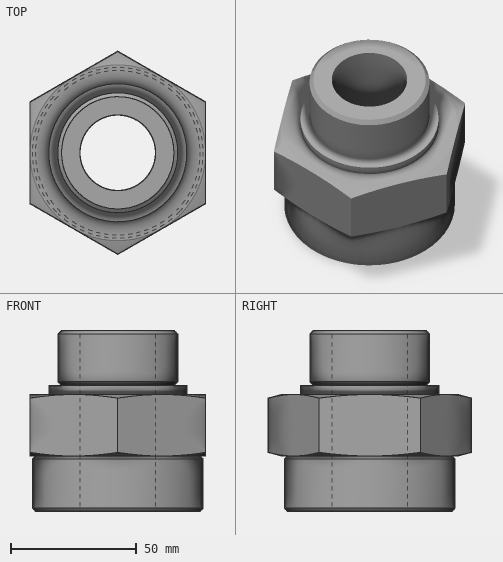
import cadquery as cq
import math

HEX_CORNERS = 80.8
HEX_FLATS = HEX_CORNERS * math.cos(math.radians(30))
HEX_BOTTOM = 22.0
HEX_TOP = 46.5
HEX_BEVEL_ANGLE = 15.0
BEVEL_OVERRUN = 0.8

BODY_DIAMETER = 68.0
BODY_CHAMFER = 1.2
COLLAR_DIAMETER = 55.0
COLLAR_TOP = 50.0
SPIGOT_DIAMETER = 47.8
SPIGOT_CHAMFER = 1.5
TOTAL_HEIGHT = 72.0
BORE_DIAMETER = 30.0


def cylinder(diameter, bottom, top):
    """Cylinder on the Z axis between two heights."""
    return cq.Workplane("XY").workplane(offset=bottom).circle(diameter / 2).extrude(top - bottom)


def bevelled_hexagon():
    """Hexagon whose corners are cut by shallow cones at both ends."""
    prism = (
        cq.Workplane("XY")
        .workplane(offset=HEX_BOTTOM)
        .polygon(6, HEX_CORNERS)
        .extrude(HEX_TOP - HEX_BOTTOM)
        .rotate((0, 0, 0), (0, 0, 1), 90)
    )
    flat_radius = HEX_FLATS / 2
    cone_radius = HEX_CORNERS / 2 + BEVEL_OVERRUN
    drop = (cone_radius - flat_radius) * math.tan(math.radians(HEX_BEVEL_ANGLE))
    envelope = (
        cq.Workplane("XZ")
        .moveTo(0, HEX_BOTTOM)
        .lineTo(flat_radius, HEX_BOTTOM)
        .lineTo(cone_radius, HEX_BOTTOM + drop)
        .lineTo(cone_radius, HEX_TOP - drop)
        .lineTo(flat_radius, HEX_TOP)
        .lineTo(0, HEX_TOP)
        .close()
        .revolve(360, (0, 0, 0), (0, 1, 0))
    )
    return prism.intersect(envelope)


body = cylinder(BODY_DIAMETER, 0, HEX_BOTTOM).edges().chamfer(BODY_CHAMFER)
collar = cylinder(COLLAR_DIAMETER, HEX_TOP, COLLAR_TOP)
spigot = cylinder(SPIGOT_DIAMETER, COLLAR_TOP, TOTAL_HEIGHT).edges().chamfer(SPIGOT_CHAMFER)
bore = cylinder(BORE_DIAMETER, 0, TOTAL_HEIGHT)

result = body.union(bevelled_hexagon()).union(collar).union(spigot).cut(bore)